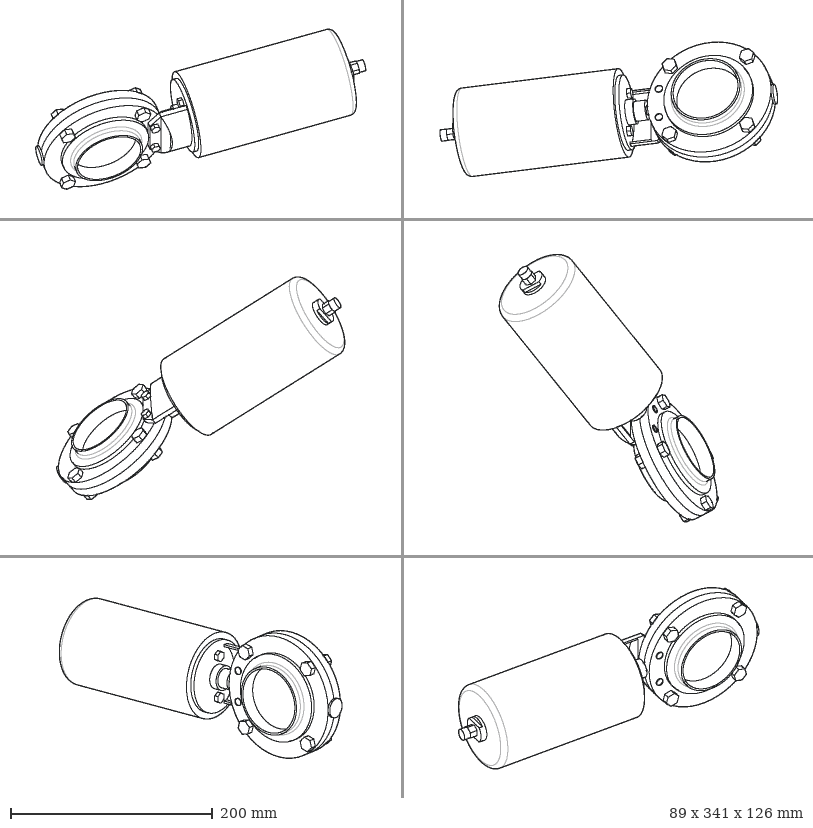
import cadquery as cq
import math


overall_length = 341.0

square = 4
hexagon = 6

flange_radius = 63.0
flange_thickness = 10.0
ring_radius = 45.5
ring_face_x = 14.0
cone_foot_x = 16.7
neck_fillet = 3.0
pipe_radius = 35.0
pipe_end_x = 25.2
bore_radius = 33.0

clamp_bolt_circle_radius = 56.0
clamp_bolt_corner_radius = 7.5
clamp_bolt_height = 6.0

disc_half_thickness = flange_thickness
stem_corner_radius = 5.8
knob_radius = flange_thickness
knob_end_y = -65.0

collar_radius = 10.0
collar_start_y = 65.8
boss_radius = 12.5
boss_start_y = 77.5
cover_radius = 37.5
cover_start_y = 85.5
cylinder_radius = 44.5
cylinder_start_y = 89.7
cylinder_end_y = 254.5
cylinder_fillet = 5.0
gland_radius = 13.0
gland_end_y = 261.2
gland_flat_start_y = 257.5
gland_flat_half_width = 9.0
hex_corner_radius = 6.5
hex_end_y = 269.0
tip_radius = 5.8
tip_end_y = knob_end_y + overall_length

cover_bolt_offset_z = 21.8
cover_bolt_corner_radius = 5.5
cover_bolt_height = 4.0

bracket_half_width = 30.7
bracket_plate_x = 15.0
bracket_crown_x = 28.5
bracket_wall = 2.0
bracket_end_y = 46.0
bracket_corner_y = 57.5
bracket_crown_start_y = 65.0
recess_start_y = 64.0

screw_y = 51.0
screw_offset_z = 16.5
screw_head_corner_radius = 4.8
screw_head_corner_angle = 45
screw_head_end_x = 19.0
screw_end_radius = 3.8
screw_end_height = 1.0


def rod_x(radius, start_x, end_x, y=0, z=0):
    """Round rod along X."""
    plane = cq.Workplane("YZ", origin=(start_x, y, z))
    return plane.circle(radius).extrude(end_x - start_x)


def rod_y(radius, start_y, end_y):
    """Round rod along the stem axis."""
    plane = cq.Workplane("XZ", origin=(0, start_y, 0))
    return plane.circle(radius).extrude(start_y - end_y)


def polygon_points(corners, corner_radius, first_corner_angle):
    """Corners of a regular polygon centred on its sketch plane."""
    angles = [math.radians(first_corner_angle + 360 * i / corners) for i in range(corners)]
    return [(corner_radius * math.cos(a), corner_radius * math.sin(a)) for a in angles]


def hex_x(corner_radius, start_x, end_x, y, z, first_corner_angle):
    """Hexagonal prism along X; the corner angle is measured from +Y towards +Z."""
    plane = cq.Workplane("YZ", origin=(start_x, y, z))
    outline = plane.polyline(polygon_points(hexagon, corner_radius, first_corner_angle)).close()
    return outline.extrude(end_x - start_x)


def prism_y(corners, corner_radius, start_y, end_y, z=0):
    """Regular prism along Y with corners pointing along Z."""
    plane = cq.Workplane("XZ", origin=(0, start_y, z))
    outline = plane.polyline(polygon_points(corners, corner_radius, 90)).close()
    return outline.extrude(start_y - end_y)


def make_stem():
    """Square stem from the knob to the actuator collar."""
    return prism_y(square, stem_corner_radius, -flange_radius, collar_start_y)


def make_body_half():
    """Valve body half on the +X side: flange, coned neck, pipe end and clamp bolt heads."""
    cone_angle = math.atan2(ring_radius - pipe_radius, cone_foot_x - ring_face_x)
    tangent_length = neck_fillet * math.tan(cone_angle / 2)
    fillet_start_x = cone_foot_x - tangent_length * math.cos(cone_angle)
    fillet_start_radius = pipe_radius + tangent_length * math.sin(cone_angle)
    fillet_end_x = cone_foot_x + tangent_length
    fillet_mid_x = fillet_end_x - neck_fillet * math.sin(cone_angle / 2)
    fillet_mid_radius = pipe_radius + neck_fillet * (1 - math.cos(cone_angle / 2))
    half = (
        cq.Workplane("XY")
        .moveTo(0, bore_radius)
        .lineTo(0, flange_radius)
        .lineTo(flange_thickness, flange_radius)
        .lineTo(flange_thickness, ring_radius)
        .lineTo(ring_face_x, ring_radius)
        .lineTo(fillet_start_x, fillet_start_radius)
        .threePointArc((fillet_mid_x, fillet_mid_radius), (fillet_end_x, pipe_radius))
        .lineTo(pipe_end_x, pipe_radius)
        .lineTo(pipe_end_x, bore_radius)
        .close()
        .revolve(360, (0, 0, 0), (1, 0, 0))
    )
    bolt_end_x = flange_thickness + clamp_bolt_height
    for angle in (45, 135, 225, 315):
        y = clamp_bolt_circle_radius * math.cos(math.radians(angle))
        z = clamp_bolt_circle_radius * math.sin(math.radians(angle))
        head = hex_x(clamp_bolt_corner_radius, flange_thickness, bolt_end_x, y, z, angle + 30)
        half = half.union(head)
    return half.cut(make_stem())


def make_plain_half():
    """Half on the -X side, with the ends of the bracket screws standing proud."""
    half = make_body_half().mirror("YZ")
    for z in (-screw_offset_z, screw_offset_z):
        screw_end = rod_x(
            screw_end_radius, -flange_thickness - screw_end_height, -flange_thickness, screw_y, z
        )
        half = half.union(screw_end)
    return half


def make_valve_disc():
    """Disc that closes the bore, with its stem and the knob that touches the flange rim."""
    disc = rod_x(bore_radius, -disc_half_thickness, disc_half_thickness)
    knob = rod_y(knob_radius, knob_end_y, -flange_radius)
    return disc.union(make_stem()).union(knob)


def make_actuator():
    """Actuator cylinder with its cover, stem collar, cover bolts and air connection."""
    actuator = rod_y(cylinder_radius, cylinder_start_y, cylinder_end_y)
    actuator = actuator.faces(">Y").edges().fillet(cylinder_fillet)
    actuator = actuator.union(rod_y(cover_radius, cover_start_y, cylinder_start_y))
    actuator = actuator.union(rod_y(boss_radius, boss_start_y, cover_start_y))
    actuator = actuator.union(rod_y(collar_radius, collar_start_y, boss_start_y))
    for z in (-cover_bolt_offset_z, cover_bolt_offset_z):
        head_start_y = cover_start_y - cover_bolt_height
        head = prism_y(hexagon, cover_bolt_corner_radius, head_start_y, cover_start_y, z)
        actuator = actuator.union(head)

    flat_block = (
        cq.Workplane("XY", origin=(0, gland_flat_start_y, 0))
        .rect(2 * gland_radius, 2 * (gland_end_y - gland_flat_start_y))
        .extrude(gland_flat_half_width, both=True)
    )
    flats = rod_y(gland_radius, gland_flat_start_y, gland_end_y).intersect(flat_block)
    actuator = actuator.union(rod_y(gland_radius, cylinder_end_y, gland_flat_start_y))
    actuator = actuator.union(flats)
    actuator = actuator.union(prism_y(hexagon, hex_corner_radius, gland_end_y, hex_end_y))
    return actuator.union(rod_y(tip_radius, hex_end_y, tip_end_y))


def bracket_section(inset, start_y):
    """Straight sides and a bowed outer wall, extruded from start_y to the cover."""
    bow_height = bracket_crown_x - bracket_plate_x
    bow_radius = (bracket_half_width**2 + bow_height**2) / (2 * bow_height)
    bow_centre_x = bracket_crown_x - bow_radius
    half_width = bracket_half_width - inset
    shoulder_x = bow_centre_x + math.sqrt((bow_radius - inset) ** 2 - half_width**2)
    return (
        cq.Workplane("XZ", origin=(0, start_y, 0))
        .moveTo(flange_thickness, -half_width)
        .lineTo(shoulder_x, -half_width)
        .threePointArc((bracket_crown_x - inset, 0), (shoulder_x, half_width))
        .lineTo(flange_thickness, half_width)
        .close()
        .extrude(start_y - cover_start_y)
    )


def make_bracket():
    """Bracket from the actuator cover to the +X flange, with its screw heads."""
    side_profile = (
        cq.Workplane("XY")
        .moveTo(flange_thickness, bracket_end_y)
        .lineTo(bracket_plate_x, bracket_end_y)
        .lineTo(bracket_plate_x, bracket_corner_y)
        .lineTo(bracket_crown_x, bracket_crown_start_y)
        .lineTo(bracket_crown_x, cover_start_y)
        .lineTo(flange_thickness, cover_start_y)
        .close()
        .extrude(bracket_half_width, both=True)
    )
    bracket = bracket_section(0, bracket_end_y).intersect(side_profile)

    bracket = bracket.edges("|X and <Y").chamfer(bracket_corner_y - bracket_end_y)

    recess = bracket_section(bracket_wall, recess_start_y)
    bracket = bracket.cut(recess)

    for z in (-screw_offset_z, screw_offset_z):
        head = hex_x(
            screw_head_corner_radius,
            bracket_plate_x,
            screw_head_end_x,
            screw_y,
            z,
            screw_head_corner_angle,
        )
        bracket = bracket.union(head)
    return bracket


plain_half = make_plain_half()
bracket_half = make_body_half()
valve_disc = make_valve_disc()
actuator = make_actuator()
bracket = make_bracket()

result = cq.Compound.makeCompound(
    [plain_half.val(), bracket_half.val(), valve_disc.val(), actuator.val(), bracket.val()]
)